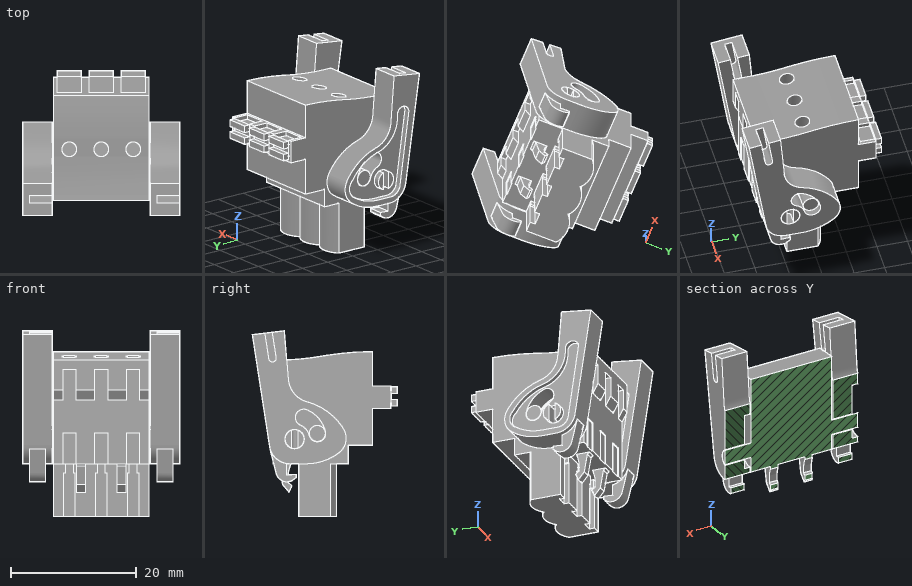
import cadquery as cq
import math


POLE_COUNT = 3
POLE_PITCH = 5.08
pole_xs = [(i - (POLE_COUNT - 1) / 2) * POLE_PITCH for i in range(POLE_COUNT)]

HOUSING_WIDTH = POLE_COUNT * POLE_PITCH
HOUSING_BACK = 16.7
HOUSING_TOP = 26.2
FRONT_EDGE_TOP = 24.85
STEP_BACK = 12.87
STEP_Z = 11.3
PLUG_TOP = 8.38
FACE_Y = 0.9
BROW_TIP_Z = 20.1
BROW_ROOT_Z = 18.55

ROOF_FLAT_Y = 16.35
ROOF_CONVEX_MID = (13.1, 26.07)
ROOF_CONVEX_END = (9.83, 25.68)
ROOF_SLOPE_END = (7.0, 25.25)
ROOF_CONCAVE_MID = (3.95, 24.95)
ROOF_CONCAVE_END = (0.9, FRONT_EDGE_TOP)

SCREW_HOLE_RADIUS = 1.165
SCREW_HOLE_Y = 8.15
SCREW_HOLE_FLOOR = 19.2
WINDOW_WIDTH = 2.07
BROW_WINDOW_TOP = 23.32
LOW_WINDOW_TOP = 13.3
LOW_WINDOW_DEPTH = 0.15

PLUG_FRONT = 4.95
PLUG_BACK = 10.05
LOBE_HEIGHT = 0.97
KEYWAY_WIDTH = 1.85
KEYWAY_NECK_WIDTH = 1.27
KEYWAY_NECK_Z = 6.97
KEYWAY_DEPTH = 0.85

LATCH_WIDTH = 1.48
LATCH_X = 3.22

TAB_END = 19.6
TAB_BOTTOM = 17.15
TAB_TOP = 20.75
CLAMP_WIDTH = 3.85
CLAMP_FRONT = 17.15
CLAMP_PRONG_Y = 19.7
CLAMP_BACK = 20.63
CLAMP_BLOCK_Z = (18.07, 20.0)
CLAMP_PRONGS_Z = ((17.53, 18.63), (19.5, 20.63))

LEVER_WIDTH = 4.72
LEVER_OUTER_X = 12.472
LEVER_INNER_X = LEVER_OUTER_X - LEVER_WIDTH
RECESS_DEPTH = 1.03
HOOK_WIDTH = 2.57
NOTCH_START = 1.05
NOTCH_WIDTH = 1.18
NOTCH_DEPTH = 5.02
NOTCH_TOP = (0.15, 29.52)
NOTCH_OVERRUN = 1.18
LEVER_LEAN = 8.8

PIVOT_Y = 4.35
PIVOT_Z = 12.3
PIVOT_RADIUS = 1.5
PIVOT_HOLE_RADIUS = 1.54
PIVOT_SPLIT_WIDTH = 1.05
PIVOT_SPLIT_DEPTH = 2.35
CAM_ORBIT = 3.72
CAM_START = 14.0
CAM_END = 67.0
CAM_PIN_RADIUS = 1.27
CAM_SLOT_RADIUS = 1.33


def box(x_range, y_range, z_range):
    (x0, x1), (y0, y1), (z0, z1) = x_range, y_range, z_range
    return cq.Workplane("XY").box(x1 - x0, y1 - y0, z1 - z0, centered=False).translate((x0, y0, z0))


def centred(x, width):
    return (x - width / 2, x + width / 2)


def side_plane(x):
    """Sketch plane across X, with Y and Z as its axes."""
    return cq.Workplane("YZ", origin=(x, 0, 0))


def cam_point(angle, radius):
    turn = math.radians(angle)
    return (PIVOT_Y + radius * math.cos(turn), PIVOT_Z + radius * math.sin(turn))




def housing_block():
    return (
        side_plane(-HOUSING_WIDTH / 2)
        .moveTo(HOUSING_BACK, STEP_Z)
        .lineTo(HOUSING_BACK, HOUSING_TOP)
        .lineTo(ROOF_FLAT_Y, HOUSING_TOP)
        .threePointArc(ROOF_CONVEX_MID, ROOF_CONVEX_END)
        .lineTo(*ROOF_SLOPE_END)
        .threePointArc(ROOF_CONCAVE_MID, ROOF_CONCAVE_END)
        .lineTo(0, FRONT_EDGE_TOP)
        .lineTo(0, BROW_TIP_Z)
        .lineTo(FACE_Y, BROW_ROOT_Z)
        .lineTo(FACE_Y, PLUG_TOP)
        .lineTo(STEP_BACK, PLUG_TOP)
        .lineTo(STEP_BACK, STEP_Z)
        .close()
        .extrude(HOUSING_WIDTH)
    )


def plug():
    """Plug block whose back carries one rounded lobe per pole."""
    outline = (
        cq.Workplane("XY")
        .moveTo(-HOUSING_WIDTH / 2, PLUG_BACK)
        .lineTo(-HOUSING_WIDTH / 2, PLUG_FRONT)
        .lineTo(HOUSING_WIDTH / 2, PLUG_FRONT)
        .lineTo(HOUSING_WIDTH / 2, PLUG_BACK)
    )
    for x in reversed(pole_xs):
        outline = outline.threePointArc((x, PLUG_BACK + LOBE_HEIGHT), (x - POLE_PITCH / 2, PLUG_BACK))
    body = outline.close().extrude(PLUG_TOP)
    depth = (PLUG_FRONT, PLUG_FRONT + KEYWAY_DEPTH)
    for x in pole_xs:
        body = body.cut(box(centred(x, KEYWAY_WIDTH), depth, (0, KEYWAY_NECK_Z)))
        body = body.cut(box(centred(x, KEYWAY_NECK_WIDTH), depth, (KEYWAY_NECK_Z, PLUG_TOP)))
    return body


def latch_arm(x):
    return (
        side_plane(x - LATCH_WIDTH / 2)
        .moveTo(3.78, PLUG_TOP)
        .threePointArc((3.48, 7.5), (3.3, 6.6))
        .lineTo(3.3, 5.45)
        .lineTo(3.93, 4.9)
        .lineTo(3.45, 3.87)
        .lineTo(2.42, 5.08)
        .lineTo(1.9, 8.05)
        .lineTo(1.54, PLUG_TOP)
        .close()
        .extrude(LATCH_WIDTH)
    )


def tab():
    body = box(centred(0, HOUSING_WIDTH), (HOUSING_BACK, TAB_END), (TAB_BOTTOM, TAB_TOP))
    for x in pole_xs:
        pocket = box(centred(x, CLAMP_WIDTH), (CLAMP_FRONT, TAB_END), (CLAMP_BLOCK_Z[0], TAB_TOP))
        body = body.cut(pocket)
    return body


def left_cam_pin():
    reach = LEVER_OUTER_X - RECESS_DEPTH - HOUSING_WIDTH / 2
    centre = cam_point(CAM_START, CAM_ORBIT)
    return side_plane(-HOUSING_WIDTH / 2).center(*centre).circle(CAM_PIN_RADIUS).extrude(-reach)


def left_pivot():
    """Pivot stud whose outer end is split in two legs by a slot with a round floor."""
    reach = LEVER_OUTER_X - HOUSING_WIDTH / 2
    stud = side_plane(-HOUSING_WIDTH / 2).center(PIVOT_Y, PIVOT_Z).circle(PIVOT_RADIUS).extrude(-reach)
    half = PIVOT_SPLIT_WIDTH / 2
    floor_x = -LEVER_OUTER_X + PIVOT_SPLIT_DEPTH
    split = (
        cq.Workplane("XY", origin=(0, PIVOT_Y, PIVOT_Z - PIVOT_RADIUS))
        .moveTo(-LEVER_OUTER_X, half)
        .lineTo(floor_x - half, half)
        .threePointArc((floor_x, 0), (floor_x - half, -half))
        .lineTo(-LEVER_OUTER_X, -half)
        .close()
        .extrude(2 * PIVOT_RADIUS)
    )
    return stud.cut(split)


def make_housing():
    body = housing_block().union(plug()).union(tab())
    for x in (-LATCH_X, LATCH_X):
        body = body.union(latch_arm(x))
    for stud in (left_cam_pin(), left_pivot()):
        body = body.union(stud).union(stud.mirror("YZ"))
    for x in pole_xs:
        window = centred(x, WINDOW_WIDTH)
        body = body.cut(box(window, (0, FACE_Y), (BROW_ROOT_Z, BROW_WINDOW_TOP)))
        body = body.cut(box(window, (FACE_Y, FACE_Y + LOW_WINDOW_DEPTH), (PLUG_TOP, LOW_WINDOW_TOP)))
        hole = cq.Workplane("XY", origin=(x, SCREW_HOLE_Y, SCREW_HOLE_FLOOR)).circle(SCREW_HOLE_RADIUS)
        body = body.cut(hole.extrude(HOUSING_TOP - SCREW_HOLE_FLOOR))
    return body




def make_clamp(x):
    """Clamp block with two prongs that stand out behind it."""
    width = centred(x, CLAMP_WIDTH)
    body = box(width, (CLAMP_FRONT, CLAMP_PRONG_Y), CLAMP_BLOCK_Z)
    for z_range in CLAMP_PRONGS_Z:
        body = body.union(box(width, (CLAMP_PRONG_Y, CLAMP_BACK), z_range))
    return body




def lever_plate():
    return (
        side_plane(-LEVER_OUTER_X)
        .moveTo(2.72, 29.52)
        .lineTo(-2.4, 28.9)
        .lineTo(0.32, 11.3)
        .threePointArc((1.45, 9.18), (3.65, PLUG_TOP))
        .lineTo(6.0, PLUG_TOP)
        .threePointArc((8.7, 8.77), (11.25, 10.05))
        .threePointArc((12.37, 11.5), (12.22, 13.7))
        .lineTo(11.93, 14.23)
        .threePointArc((9.6, 16.65), (6.38, 18.2))
        .threePointArc((4.22, 19.6), (3.35, 22.02))
        .close()
        .extrude(LEVER_WIDTH)
    )


def lever_recess():
    """Shallow recess that leaves a rim inside the lever outline."""
    return (
        side_plane(-LEVER_OUTER_X)
        .moveTo(2.05, 22.9)
        .threePointArc((0.77, 24.05), (-0.25, 22.9))
        .lineTo(1.55, 10.72)
        .threePointArc((2.18, 9.8), (3.13, 9.4))
        .lineTo(6.17, 9.4)
        .threePointArc((8.55, 9.77), (10.75, 10.85))
        .threePointArc((11.63, 12.25), (11.05, 13.7))
        .threePointArc((8.85, 16.03), (6.0, 17.4))
        .threePointArc((3.2, 19.2), (2.05, 22.15))
        .close()
        .extrude(RECESS_DEPTH)
    )


def cam_slot():
    start = cam_point(CAM_START, CAM_ORBIT)
    end = cam_point(CAM_END, CAM_ORBIT)
    middle = (CAM_START + CAM_END) / 2
    inner = CAM_ORBIT - CAM_SLOT_RADIUS
    outer = CAM_ORBIT + CAM_SLOT_RADIUS
    track = (
        side_plane(-LEVER_OUTER_X)
        .moveTo(*cam_point(CAM_START, outer))
        .threePointArc(cam_point(middle, outer), cam_point(CAM_END, outer))
        .lineTo(*cam_point(CAM_END, inner))
        .threePointArc(cam_point(middle, inner), cam_point(CAM_START, inner))
        .close()
        .extrude(LEVER_WIDTH)
    )
    for centre in (start, end):
        round_end = side_plane(-LEVER_OUTER_X).center(*centre).circle(CAM_SLOT_RADIUS)
        track = track.union(round_end.extrude(LEVER_WIDTH))
    return track


def lever_hook():
    return (
        side_plane(-LEVER_OUTER_X + (LEVER_WIDTH - HOOK_WIDTH) / 2)
        .moveTo(0.4, 10.75)
        .lineTo(1.4, 6.88)
        .threePointArc((2.48, 5.65), (3.93, 5.7))
        .lineTo(4.6, 6.2)
        .lineTo(4.6, 6.73)
        .lineTo(3.07, 6.65)
        .lineTo(3.07, 10.75)
        .close()
        .extrude(HOOK_WIDTH)
    )


def lever_notch():
    """Notch down from the lever top, along the lever front, with a round floor."""
    half = NOTCH_WIDTH / 2
    depth = NOTCH_DEPTH - half
    profile = (
        cq.Workplane("YZ")
        .moveTo(-half, NOTCH_OVERRUN)
        .lineTo(-half, -depth)
        .threePointArc((0, -NOTCH_DEPTH), (half, -depth))
        .lineTo(half, NOTCH_OVERRUN)
        .close()
        .extrude(LEVER_WIDTH - NOTCH_START)
    )
    tilted = profile.rotate((0, 0, 0), (1, 0, 0), LEVER_LEAN)
    return tilted.translate((-LEVER_OUTER_X + NOTCH_START, *NOTCH_TOP))


def make_left_lever():
    pivot_hole = side_plane(-LEVER_OUTER_X).center(PIVOT_Y, PIVOT_Z).circle(PIVOT_HOLE_RADIUS)
    return (
        lever_plate()
        .union(lever_hook())
        .cut(lever_recess())
        .cut(cam_slot())
        .cut(pivot_hole.extrude(LEVER_WIDTH))
        .cut(lever_notch())
    )



housing = make_housing()
clamps = [make_clamp(x) for x in pole_xs]
left_lever = make_left_lever()
lever_shifts = (0, LEVER_OUTER_X + LEVER_INNER_X)
levers = [left_lever.translate((shift, 0, 0)) for shift in lever_shifts]

result = cq.Compound.makeCompound(
    [
        housing.val(),
        *[clamp.val() for clamp in clamps],
        *[lever.val() for lever in levers],
    ]
)